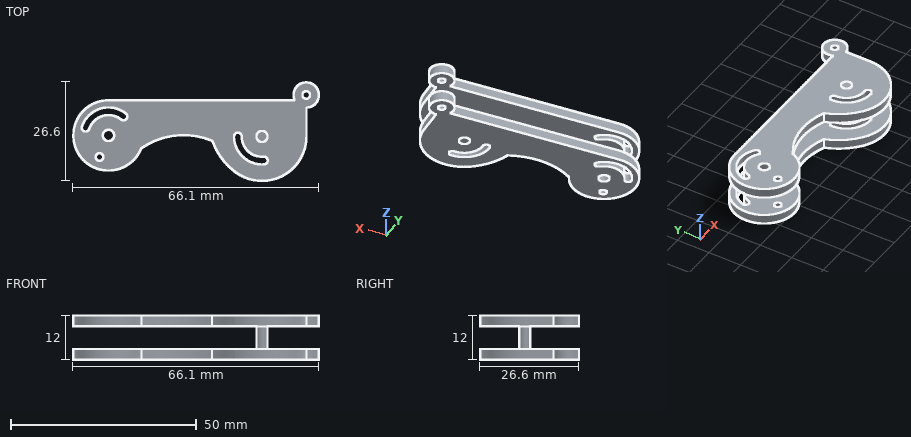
import cadquery as cq
import math


plate_thickness = 3.0
plate_gap = 6.0
stack_height = 2 * plate_thickness + plate_gap
plate_levels = [0.0, plate_thickness + plate_gap]

pivot_end_radius = 9.5
pivot_hole_diameter = 3.0

pin_x, pin_y = 41.3, -0.28
pin_diameter = 3.0
lobe_radius = 12.0
lobe_right_x = pin_x + lobe_radius

flank_radius = 18.0
flank_blend_angle = 233.5

waist_x, waist_y = 20.2, -19.95
waist_radius = 20.0

ear_x, ear_y = 53.2, 10.87
ear_radius = 3.44
ear_hole_diameter = 2.0

side_hole_distance = 6.3
side_hole_angle = 247.4
side_hole_diameter = 2.0

slot_radius = 6.5
slot_width = 2.0
pivot_slot_angles = (51.5, 161.5)
pin_slot_angles = (180.0, 274.5)


def polar(center, radius, angle):
    """Point at a radius and an angle in degrees from a center."""
    turn = math.radians(angle)
    return (center[0] + radius * math.cos(turn), center[1] + radius * math.sin(turn))


def circle_crossings(center_a, radius_a, center_b, radius_b):
    """Both points where two circles cross."""
    dx = center_b[0] - center_a[0]
    dy = center_b[1] - center_a[1]
    distance = math.hypot(dx, dy)
    along = (distance**2 + radius_a**2 - radius_b**2) / (2 * distance)
    direction = math.degrees(math.atan2(dy, dx))
    spread = math.degrees(math.acos(along / radius_a))
    return [polar(center_a, radius_a, direction + side * spread) for side in (-1, 1)]


def highest(points):
    return max(points, key=lambda point: point[1])


def arc_middle(center, radius, start, end):
    """Point halfway along the shorter arc from start to end."""
    chord_x = (start[0] + end[0]) / 2 - center[0]
    chord_y = (start[1] + end[1]) / 2 - center[1]
    return polar(center, radius, math.degrees(math.atan2(chord_y, chord_x)))


pivot = (0.0, 0.0)
pin_center = (pin_x, pin_y)
waist_center = (waist_x, waist_y)
ear_center = (ear_x, ear_y)


def plate_body():
    """Plate outline without the ear."""
    flank_center = polar(pin_center, lobe_radius - flank_radius, flank_blend_angle)
    flank_start = polar(pin_center, lobe_radius, flank_blend_angle)
    flank_end = highest(circle_crossings(waist_center, waist_radius, flank_center, flank_radius))
    waist_end = highest(circle_crossings(waist_center, waist_radius, pivot, pivot_end_radius))
    lobe_bottom = (pin_x, pin_y - lobe_radius)
    pivot_end_left = (-pivot_end_radius, 0)
    return (
        cq.Workplane("XY")
        .moveTo(0, pivot_end_radius)
        .lineTo(lobe_right_x, pivot_end_radius)
        .lineTo(lobe_right_x, pin_y)
        .threePointArc(lobe_bottom, flank_start)
        .threePointArc(arc_middle(flank_center, flank_radius, flank_start, flank_end), flank_end)
        .threePointArc(arc_middle(waist_center, waist_radius, flank_end, waist_end), waist_end)
        .threePointArc(pivot_end_left, (0, pivot_end_radius))
        .close()
        .extrude(plate_thickness)
    )


def round_post(center, diameter, height):
    return cq.Workplane("XY").center(*center).circle(diameter / 2).extrude(height)


def curved_slot(center, angles):
    """Cutter for a round-ended slot that follows an arc between two angles."""
    start, end = angles
    middle = (start + end) / 2
    inner = slot_radius - slot_width / 2
    outer = slot_radius + slot_width / 2
    band = (
        cq.Workplane("XY")
        .moveTo(*polar(center, inner, start))
        .threePointArc(polar(center, inner, middle), polar(center, inner, end))
        .lineTo(*polar(center, outer, end))
        .threePointArc(polar(center, outer, middle), polar(center, outer, start))
        .close()
        .extrude(plate_thickness)
    )
    for angle in angles:
        band = band.union(round_post(polar(center, slot_radius, angle), slot_width, plate_thickness))
    return band


def link_plate(level):
    """One link plate with its bottom face at the given level."""
    plate = plate_body().union(round_post(ear_center, 2 * ear_radius, plate_thickness))
    holes = [
        (pivot, pivot_hole_diameter),
        (pin_center, pin_diameter),
        (ear_center, ear_hole_diameter),
        (polar(pivot, side_hole_distance, side_hole_angle), side_hole_diameter),
    ]
    for center, diameter in holes:
        plate = plate.cut(round_post(center, diameter, plate_thickness))
    plate = plate.cut(curved_slot(pivot, pivot_slot_angles))
    plate = plate.cut(curved_slot(pin_center, pin_slot_angles))
    return plate.translate((0, 0, level))


def spacer_pin():
    """Pin through both plates, flush with their outer faces."""
    return round_post(pin_center, pin_diameter, stack_height)


plates = [link_plate(level) for level in plate_levels]
pin = spacer_pin()

result = cq.Compound.makeCompound([*[plate.val() for plate in plates], pin.val()])